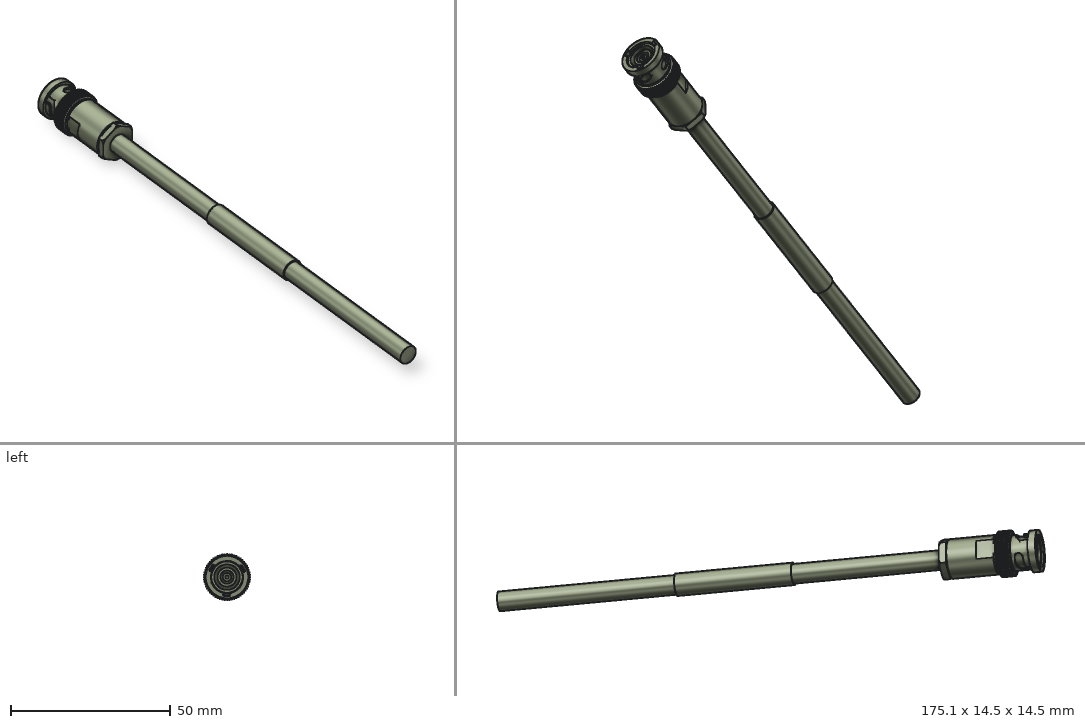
import cadquery as cq
import math

TOTAL_LENGTH = 175.1
FLANGE_WIDTH = 2.5
KNURL_START = 8.2
KNURL_END = 13.1
BODY_START = 13.8
BODY_END = 29.0
NUT_END = 31.3
SLEEVE_START = 79.8
SLEEVE_END = 117.7

KNURL_RADIUS = 14.5 / 2
KNURL_END_RADIUS = 6.3
KNURL_CHAMFER_LENGTH = 0.5
KNURL_TEETH = 60
KNURL_DEPTH = 0.4
FLANGE_RADIUS = 6.7
BARREL_RADIUS = 11.4 / 2
COUPLING_BORE_RADIUS = 5.0
COUPLING_BORE_DEPTH = 8.8

SLOT_COUNT = 3
KEYWAY_ANGLE = 28.5
KEYWAY_WIDTH = 2.1
KEYWAY_RADIUS = 6.0
ENTRY_TOP = 3.7
ENTRY_BOTTOM = 1.8
RAMP_TOP_START = (5.3, ENTRY_TOP)
RAMP_TOP_MIDDLE = (6.5, 2.1)
RAMP_BOTTOM_START = (3.3, ENTRY_BOTTOM)
RAMP_BOTTOM_MIDDLE = (4.2, 1.31)
RAMP_BOTTOM_END_Z = 0.4
DETENT_X = 5.8
DETENT_Z = -2.1
DETENT_RADIUS = 1.31

BODY_RADIUS = 6.3
NECK_RADIUS = 5.8
FLAT_DISTANCE = 11.0 / 2
FLAT_END = 19.3
BODY_CHAMFER = 0.4
SHELL_RADIUS = 4.9
SHELL_BORE_RADIUS = 4.0
SHELL_START = 0.7
CAVITY_END = 9.6
INSULATOR_START = 1.4
INSULATOR_RADIUS = 3.0
INSULATOR_BORE_RADIUS = 2.1
PIN_RADIUS = 1.31
PIN_TIP_RADIUS = 0.5
PIN_TIP_START = 1.0
PIN_SHOULDER = 1.8

NUT_SIDES = 6
NUT_ACROSS_CORNERS = 13.7
NUT_CHAMFER = 0.5
CABLE_RADIUS = 3.2
SLEEVE_RADIUS = 7.2 / 2


def cylinder(start, end, radius):
    """Solid cylinder along X from start to end."""
    return cq.Workplane("YZ", origin=(start, 0, 0)).circle(radius).extrude(end - start)


def tube(start, end, outer_radius, inner_radius):
    """Round tube along X from start to end."""
    return cylinder(start, end, outer_radius).cut(cylinder(start, end, inner_radius))


def make_knurl():
    """Knurled grip: pointed axial teeth trimmed by a cone at each end."""
    points = []
    for step in range(2 * KNURL_TEETH):
        radius = KNURL_RADIUS - KNURL_DEPTH * (step % 2)
        angle = math.pi * step / KNURL_TEETH
        points.append((radius * math.cos(angle), radius * math.sin(angle)))
    toothed = (
        cq.Workplane("YZ", origin=(KNURL_START, 0, 0))
        .polyline(points)
        .close()
        .extrude(KNURL_END - KNURL_START)
    )
    envelope = (
        cq.Workplane("XY")
        .moveTo(KNURL_START, 0)
        .lineTo(KNURL_START, KNURL_END_RADIUS)
        .lineTo(KNURL_START + KNURL_CHAMFER_LENGTH, KNURL_RADIUS)
        .lineTo(KNURL_END - KNURL_CHAMFER_LENGTH, KNURL_RADIUS)
        .lineTo(KNURL_END, KNURL_END_RADIUS)
        .lineTo(KNURL_END, 0)
        .close()
        .revolve(360, (0, 0, 0), (1, 0, 0))
    )
    return toothed.intersect(envelope)


def make_bayonet_cutter():
    """One bayonet slot on the -Y side: keyway in the flange, curved ramp and round detent."""
    keyway = (
        cq.Workplane("XY")
        .box(FLANGE_WIDTH, KEYWAY_RADIUS, KEYWAY_WIDTH, centered=(False, False, True))
        .translate((0, -KEYWAY_RADIUS, 0))
        .rotate((0, 0, 0), (1, 0, 0), -KEYWAY_ANGLE)
    )
    ramp = (
        cq.Workplane("XZ")
        .moveTo(FLANGE_WIDTH, ENTRY_TOP)
        .lineTo(*RAMP_TOP_START)
        .threePointArc(RAMP_TOP_MIDDLE, (DETENT_X + DETENT_RADIUS, DETENT_Z))
        .lineTo(DETENT_X - DETENT_RADIUS, DETENT_Z)
        .lineTo(DETENT_X - DETENT_RADIUS, RAMP_BOTTOM_END_Z)
        .threePointArc(RAMP_BOTTOM_MIDDLE, RAMP_BOTTOM_START)
        .lineTo(FLANGE_WIDTH, ENTRY_BOTTOM)
        .close()
        .extrude(FLANGE_RADIUS)
    )
    detent = (
        cq.Workplane("XZ")
        .center(DETENT_X, DETENT_Z)
        .circle(DETENT_RADIUS)
        .extrude(FLANGE_RADIUS)
    )
    return keyway.union(ramp).union(detent)


def make_coupling():
    """Bayonet coupling ring that turns on the shell of the connector body."""
    coupling = cylinder(0, FLANGE_WIDTH, FLANGE_RADIUS)
    coupling = coupling.union(cylinder(FLANGE_WIDTH, KNURL_START, BARREL_RADIUS))
    coupling = coupling.union(make_knurl())
    coupling = coupling.cut(cylinder(0, COUPLING_BORE_DEPTH, COUPLING_BORE_RADIUS))
    coupling = coupling.cut(cylinder(COUPLING_BORE_DEPTH, KNURL_END, SHELL_RADIUS))
    cutter = make_bayonet_cutter()
    for index in range(SLOT_COUNT):
        turned = cutter.rotate((0, 0, 0), (1, 0, 0), index * 360 / SLOT_COUNT)
        coupling = coupling.cut(turned)
    return coupling


def make_body():
    """Connector body with front shell, insulator, contact pin and two wrench flats."""
    body = cylinder(BODY_START, BODY_END, BODY_RADIUS).faces(">X").chamfer(BODY_CHAMFER)
    body = body.union(cylinder(KNURL_END, BODY_START, NECK_RADIUS))
    flat_length = FLAT_END - KNURL_END
    flat_depth = BODY_RADIUS - FLAT_DISTANCE
    for side in (-1, 1):
        flat = (
            cq.Workplane("XY")
            .box(flat_length, flat_depth, 2 * BODY_RADIUS, centered=(False, True, True))
            .translate((KNURL_END, side * (FLAT_DISTANCE + flat_depth / 2), 0))
        )
        body = body.cut(flat)
    body = body.union(tube(SHELL_START, CAVITY_END, SHELL_RADIUS, SHELL_BORE_RADIUS))
    body = body.union(cylinder(CAVITY_END, KNURL_END, SHELL_RADIUS))
    body = body.union(tube(INSULATOR_START, CAVITY_END, INSULATOR_RADIUS, INSULATOR_BORE_RADIUS))
    body = body.union(cylinder(PIN_SHOULDER, CAVITY_END, PIN_RADIUS))
    return body.union(cylinder(PIN_TIP_START, PIN_SHOULDER, PIN_TIP_RADIUS))


def make_nut():
    """Hexagonal clamp nut with corners at +Z and -Z and a chamfered rear end."""
    nut = (
        cq.Workplane("YZ", origin=(BODY_END, 0, 0))
        .polygon(NUT_SIDES, NUT_ACROSS_CORNERS)
        .extrude(NUT_END - BODY_END)
        .rotate((0, 0, 0), (1, 0, 0), 90)
    )
    envelope = (
        cylinder(BODY_END, NUT_END, NUT_ACROSS_CORNERS / 2).faces(">X").chamfer(NUT_CHAMFER)
    )
    return nut.intersect(envelope).cut(cylinder(BODY_END, NUT_END, CABLE_RADIUS))


coupling = make_coupling()
body = make_body()
nut = make_nut()
cable = cylinder(BODY_END, TOTAL_LENGTH, CABLE_RADIUS)
sleeve = tube(SLEEVE_START, SLEEVE_END, SLEEVE_RADIUS, CABLE_RADIUS)

result = cq.Compound.makeCompound(
    [coupling.val(), body.val(), nut.val(), cable.val(), sleeve.val()]
)